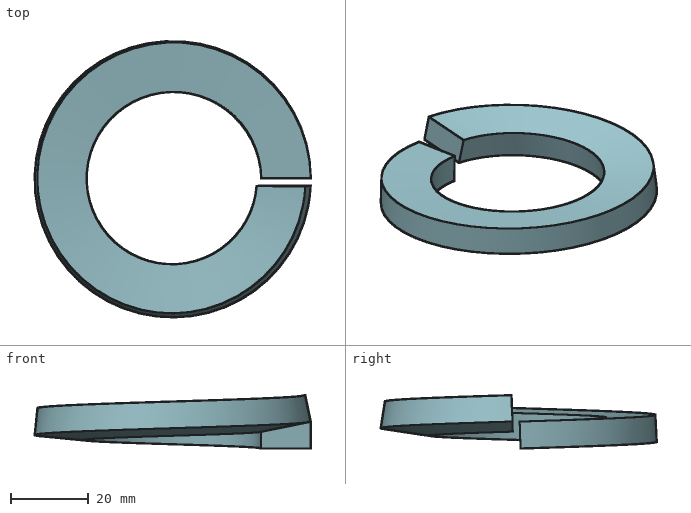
import math

import cadquery as cq

outer_radius = 35.6
bar_width = 12.8
bar_thickness = 7.0
pitch = 7.05
lead_angle = math.degrees(math.atan(pitch / (2 * math.pi * outer_radius)))

gap_width = 1.85
gap_wall_y = 0.4
turns = 1 - gap_width / 2 / (2 * math.pi * outer_radius)
cutter_length = 2 * bar_width
cutter_height = 4 * (pitch + bar_thickness)


def coiled_bar():
    """Bar whose section rolls gently about its lower outer edge."""
    helix = cq.Workplane(obj=cq.Wire.makeHelix(pitch, turns * pitch, outer_radius))
    section = (
        cq.Workplane("XZ")
        .center(outer_radius - bar_width / 2, bar_thickness / 2)
        .rect(bar_width, bar_thickness)
    )
    return section.sweep(helix, isFrenet=False)


def gap_cutter():
    """Slot across the +X side, leaning by the lead angle of the coil."""
    slot = cq.Workplane("XY").box(cutter_length, gap_width, cutter_height)
    leaning_slot = slot.rotate((0, 0, 0), (1, 0, 0), lead_angle)
    return leaning_slot.translate((outer_radius - bar_width / 2, gap_wall_y - gap_width / 2, 0))


result = coiled_bar().cut(gap_cutter())